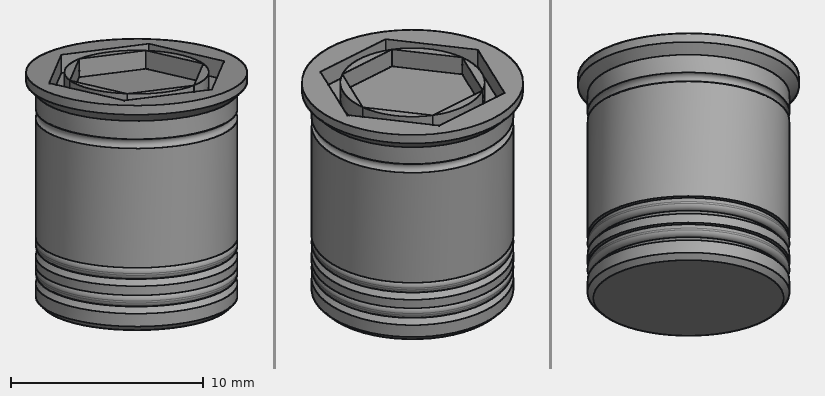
import cadquery as cq
import math

height = 12.5
body_radius = 5.25
bottom_chamfer = 0.3

flange_radius = 5.75
flange_rim = 0.5
flange_cone = flange_radius - body_radius

relief_radius = 0.25
relief_center_z = height - 2.25

groove_bottoms = [1.0, 2.5]
groove_width = 1.0
groove_chamfer = 0.3
groove_depth = 0.75
ring_edge_radius = 0.3
ring_height = groove_width - groove_chamfer
ring_inner_radius = body_radius - groove_depth

recess_flats = 8.52
recess_depth = 1.0
post_radius = 3.75
socket_flats = 6.5


def hex_prism(across_flats, bottom_z, prism_height):
    """Upright hexagonal prism with corners on the Y axis."""
    corner_diameter = across_flats / math.cos(math.pi / 6)
    return (
        cq.Workplane("XY")
        .workplane(offset=bottom_z)
        .transformed(rotate=(0, 0, 90))
        .polygon(6, corner_diameter)
        .extrude(prism_height)
    )


def make_blank():
    """Turned body with its flange and bottom chamfer."""
    rim_bottom = height - flange_rim
    return (
        cq.Workplane("XZ")
        .lineTo(body_radius - bottom_chamfer, 0)
        .lineTo(body_radius, bottom_chamfer)
        .lineTo(body_radius, rim_bottom - flange_cone)
        .lineTo(flange_radius, rim_bottom)
        .lineTo(flange_radius, height)
        .lineTo(0, height)
        .close()
        .revolve(360, (0, 0, 0), (0, 1, 0))
    )


def make_relief():
    """Round-section cutter for the groove below the flange."""
    return (
        cq.Workplane("XZ")
        .center(body_radius, relief_center_z)
        .circle(relief_radius)
        .revolve(360, (-body_radius, 0, 0), (-body_radius, 1, 0))
    )


def make_seal_groove(bottom_z):
    """Cutter for a seal groove with a chamfered lower lip."""
    floor_z = bottom_z + groove_chamfer
    top_z = bottom_z + groove_width
    return (
        cq.Workplane("XZ")
        .moveTo(ring_inner_radius, floor_z)
        .lineTo(body_radius - groove_chamfer, floor_z)
        .lineTo(body_radius, bottom_z)
        .lineTo(body_radius, top_z)
        .lineTo(ring_inner_radius, top_z)
        .close()
        .revolve(360, (0, 0, 0), (0, 1, 0))
    )


def make_drive_recess():
    """Cutter for the hexagonal recess that leaves the socketed post standing."""
    floor_z = height - recess_depth
    recess = hex_prism(recess_flats, floor_z, recess_depth)
    post = cq.Workplane("XY").workplane(offset=floor_z).circle(post_radius).extrude(recess_depth)
    socket = hex_prism(socket_flats, floor_z, recess_depth)
    return recess.cut(post.cut(socket))


def make_plug():
    plug = make_blank().cut(make_relief()).cut(make_drive_recess())
    for bottom_z in groove_bottoms:
        plug = plug.cut(make_seal_groove(bottom_z))
    return plug


def make_seal_ring(groove_bottom_z):
    """Seal ring with rounded outer edges, seated on its groove floor."""
    return (
        cq.Workplane("XY")
        .workplane(offset=groove_bottom_z + groove_chamfer)
        .circle(body_radius)
        .extrude(ring_height)
        .edges("%CIRCLE")
        .fillet(ring_edge_radius)
        .cut(
            cq.Workplane("XY")
            .workplane(offset=groove_bottom_z + groove_chamfer)
            .circle(ring_inner_radius)
            .extrude(ring_height)
        )
    )


plug = make_plug()
seal_rings = [make_seal_ring(bottom_z) for bottom_z in groove_bottoms]

result = cq.Compound.makeCompound(
    [plug.solids().val(), *[ring.solids().val() for ring in seal_rings]]
)